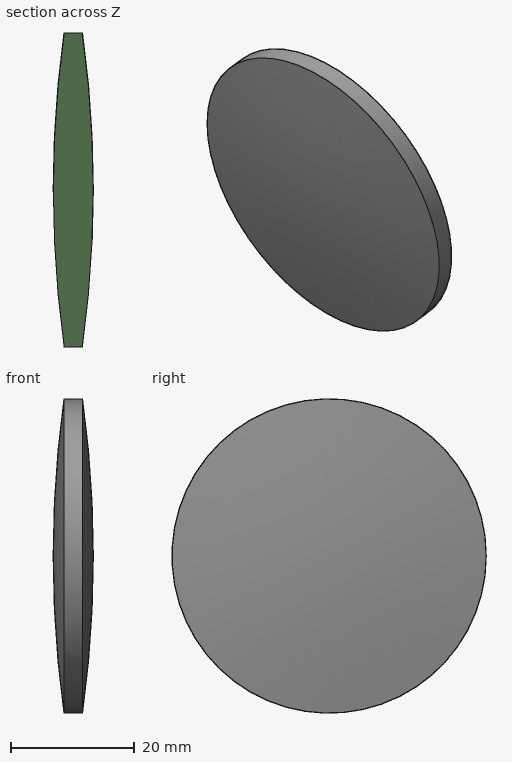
import cadquery as cq

diameter = 50.8
center_thickness = 6.5
edge_thickness = 3.0

radius = diameter / 2
half_center = center_thickness / 2
half_edge = edge_thickness / 2

sag = half_center - half_edge
sphere_radius = (radius**2 + sag**2) / (2 * sag)

mid_height = radius / 2
mid_drop = sphere_radius - (sphere_radius**2 - mid_height**2) ** 0.5
mid_x = half_center - mid_drop

result = (
    cq.Workplane("XY")
    .moveTo(-half_center, 0)
    .threePointArc((-mid_x, mid_height), (-half_edge, radius))
    .lineTo(half_edge, radius)
    .threePointArc((mid_x, mid_height), (half_center, 0))
    .close()
    .revolve(360, (0, 0, 0), (1, 0, 0))
)